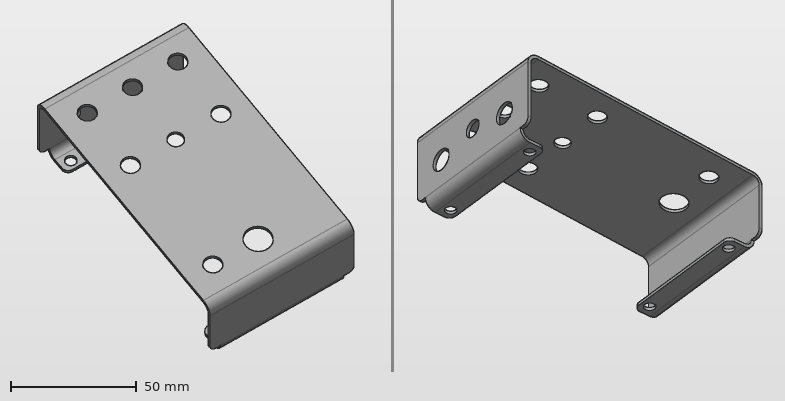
import cadquery as cq
import math

length = 120.0
width = 70.0
height = 40.0
thickness = 1.5
bend_radius = 5.0
roof_slope = 3.0

flange_reach = 13.0
flange_inset = 5.0
corner_radius = 3.0

mount_hole_diameter = 5.0
mount_hole_from_wall = 9.0
mount_hole_y = 25.0

roof_row_y = 22.0
first_column_from_high_bend = 10.9
column_spacing = 30.0
last_column_from_low_bend = 12.0
roof_hole_diameter = 8.0
small_roof_hole_diameter = 7.0
large_roof_hole_diameter = 12.0

wall_holes = [
    (-20.0, 18.0, 10.0),
    (0.0, 22.0, 8.0),
    (20.0, 18.0, 10.0),
]

half_length = length / 2
slope = math.radians(roof_slope)
bend_x = half_length - bend_radius
high_bend_z = height - bend_radius
low_bend_z = high_bend_z - 2 * bend_x * math.tan(slope)
roof_length = 2 * bend_x / math.cos(slope)
first_column = first_column_from_high_bend
second_column = first_column + column_spacing
last_column = roof_length - last_column_from_low_bend

roof_holes = [
    (first_column, -roof_row_y, roof_hole_diameter),
    (first_column, 0.0, roof_hole_diameter),
    (first_column, roof_row_y, roof_hole_diameter),
    (second_column, -roof_row_y, roof_hole_diameter),
    (second_column, 0.0, small_roof_hole_diameter),
    (second_column, roof_row_y, roof_hole_diameter),
    (last_column, -roof_row_y, roof_hole_diameter),
    (last_column, 0.0, large_roof_hole_diameter),
]


def bend_point(centre_x, centre_z, radius, angle):
    """Point on a bend arc, angle in radians from +X toward +Z."""
    return (centre_x + radius * math.cos(angle), centre_z + radius * math.sin(angle))


def bent_sheet():
    """Constant-thickness C profile with a sloping roof, extruded over the full width."""
    roof_normal = math.pi / 2 - slope
    up_left_mid = (math.pi + roof_normal) / 2
    up_right_mid = roof_normal / 2
    down_left_mid = 5 * math.pi / 4
    down_right_mid = -math.pi / 4
    inner = bend_radius - thickness
    outer = bend_radius
    tip_x = half_length - flange_reach

    def low_left(radius, angle):
        return bend_point(-bend_x, bend_radius, radius, angle)

    def high_left(radius, angle):
        return bend_point(-bend_x, high_bend_z, radius, angle)

    def high_right(radius, angle):
        return bend_point(bend_x, low_bend_z, radius, angle)

    def low_right(radius, angle):
        return bend_point(bend_x, bend_radius, radius, angle)

    profile = (
        cq.Workplane("XZ")
        .moveTo(-tip_x, 0)
        .lineTo(*low_left(outer, -math.pi / 2))
        .threePointArc(low_left(outer, down_left_mid), low_left(outer, math.pi))
        .lineTo(*high_left(outer, math.pi))
        .threePointArc(high_left(outer, up_left_mid), high_left(outer, roof_normal))
        .lineTo(*high_right(outer, roof_normal))
        .threePointArc(high_right(outer, up_right_mid), high_right(outer, 0))
        .lineTo(*low_right(outer, 0))
        .threePointArc(low_right(outer, down_right_mid), low_right(outer, -math.pi / 2))
        .lineTo(tip_x, 0)
        .lineTo(tip_x, thickness)
        .lineTo(*low_right(inner, -math.pi / 2))
        .threePointArc(low_right(inner, down_right_mid), low_right(inner, 0))
        .lineTo(*high_right(inner, 0))
        .threePointArc(high_right(inner, up_right_mid), high_right(inner, roof_normal))
        .lineTo(*high_left(inner, roof_normal))
        .threePointArc(high_left(inner, up_left_mid), high_left(inner, math.pi))
        .lineTo(*low_left(inner, math.pi))
        .threePointArc(low_left(inner, down_left_mid), low_left(inner, -math.pi / 2))
        .lineTo(-tip_x, thickness)
        .close()
    )
    return profile.extrude(width / 2, both=True)


def wall_outline():
    """Block that keeps the roof and walls above the lower bends, with rounded lower corners."""
    return (
        cq.Workplane("XY", origin=(0, 0, bend_radius))
        .box(length, width, height, centered=(True, True, False))
        .edges("|X and <Z")
        .fillet(corner_radius)
    )


def flange_outline(side):
    """Block that keeps one flange and its bend, with rounded tip corners; side is -1 or +1."""
    tip_edges = "|Z and <X" if side > 0 else "|Z and >X"
    return (
        cq.Workplane("XY")
        .center(side * (half_length - flange_reach / 2), 0)
        .rect(flange_reach, width - 2 * flange_inset)
        .extrude(bend_radius + corner_radius)
        .edges(tip_edges)
        .fillet(corner_radius)
    )


def roof_hole_cutter(along, y, diameter):
    """Cylinder square to the roof, centred on its outer face."""
    tangent_x, tangent_z = bend_point(-bend_x, high_bend_z, bend_radius, math.pi / 2 - slope)
    x = tangent_x + along * math.cos(slope)
    z = tangent_z - along * math.sin(slope)
    normal = (math.sin(slope), 0, math.cos(slope))
    plane = cq.Plane(origin=(x, y, z), xDir=(0, 1, 0), normal=normal)
    return cq.Workplane(plane).circle(diameter / 2).extrude(2 * thickness, both=True)


def wall_hole_cutter(y, z, diameter):
    """Cylinder through the -X wall only."""
    plane = cq.Workplane("YZ", origin=(-half_length, y, z))
    return plane.circle(diameter / 2).extrude(2 * thickness, both=True)


def mount_hole_cutters():
    """Vertical cylinders through both ends of both flanges."""
    x = half_length - mount_hole_from_wall
    places = [(sx * x, sy * mount_hole_y) for sx in (-1, 1) for sy in (-1, 1)]
    return (
        cq.Workplane("XY")
        .pushPoints(places)
        .circle(mount_hole_diameter / 2)
        .extrude(2 * thickness)
    )


envelope = wall_outline().union(flange_outline(-1)).union(flange_outline(1))
result = bent_sheet().intersect(envelope)

for along, y, diameter in roof_holes:
    result = result.cut(roof_hole_cutter(along, y, diameter))

for y, z, diameter in wall_holes:
    result = result.cut(wall_hole_cutter(y, z, diameter))

result = result.cut(mount_hole_cutters())